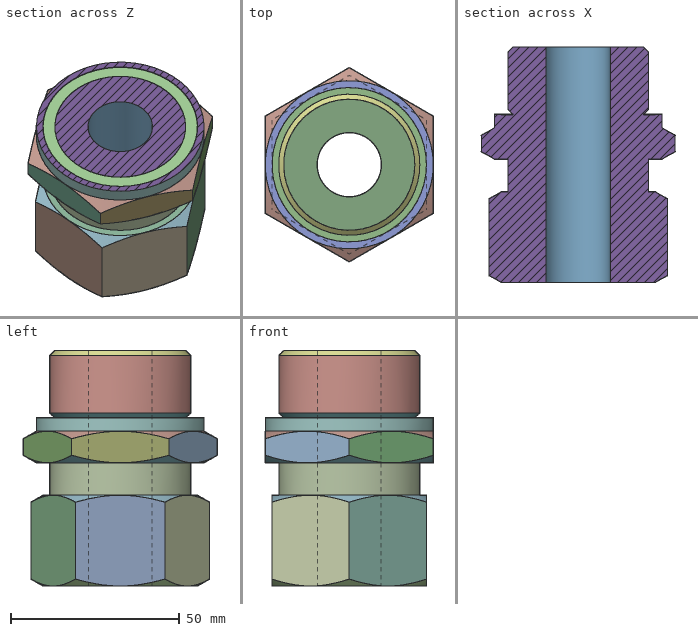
import cadquery as cq
import math

nut_top = 27.0
hex_bottom = 36.6
hex_top = 46.0
flange_top = 50.0
total_height = 70.0

nut_across_flats = 46.0
hex_across_flats = 50.0
face_relief = 0.1
corner_chamfer_angle = 30.0

shank_diameter = 41.91
shank_end_diameter = 38.95
shank_root_diameter = 38.8
root_bevel_height = 1.5
bore_diameter = 19.0
seal_diameter = 45.8
seal_recess_depth = 0.1

hex_face_diameter = hex_across_flats - face_relief
seal_level = flange_top - seal_recess_depth


def cylinder(diameter, bottom, top):
    return cq.Workplane("XY").workplane(offset=bottom).circle(diameter / 2).extrude(top - bottom)


def revolve_about_z(profile_points):
    """Solid of revolution from (radius, height) points."""
    return cq.Workplane("XZ").polyline(profile_points).close().revolve(360, (0, 0, 0), (0, 1, 0))


def chamfered_hexagon(across_flats, bottom, top):
    """Hexagonal prism with flats facing +X and -X, its corners turned off conically at both ends."""
    corner_radius = across_flats / math.sqrt(3)
    face_radius = (across_flats - face_relief) / 2
    drop = (corner_radius - face_radius) * math.tan(math.radians(corner_chamfer_angle))
    prism = cq.Workplane("XY").workplane(offset=bottom).polygon(6, 2 * corner_radius).extrude(top - bottom)
    prism = prism.rotate((0, 0, 0), (0, 0, 1), 360 / 12)
    envelope = revolve_about_z([
        (0, bottom),
        (face_radius, bottom),
        (corner_radius, bottom + drop),
        (corner_radius, top - drop),
        (face_radius, top),
        (0, top),
    ])
    return prism.intersect(envelope)


def shank():
    """Upper connection end, tapering to its root at the flange and bevelled at the top."""
    radius = shank_diameter / 2
    end_radius = shank_end_diameter / 2
    root_radius = shank_root_diameter / 2
    return revolve_about_z([
        (0, seal_level),
        (root_radius, seal_level),
        (radius, seal_level + root_bevel_height),
        (radius, total_height - (radius - end_radius)),
        (end_radius, total_height),
        (0, total_height),
    ])


def flange():
    """Round collar above the hexagon with a shallow seal recess in its top face."""
    collar = cylinder(hex_face_diameter, hex_top, flange_top)
    return collar.cut(cylinder(seal_diameter, seal_level, flange_top))


nut = chamfered_hexagon(nut_across_flats, 0, nut_top)
neck = cylinder(shank_diameter, nut_top, hex_bottom)
body_hexagon = chamfered_hexagon(hex_across_flats, hex_bottom, hex_top)
bore = cylinder(bore_diameter, 0, total_height)

result = nut.union(neck).union(body_hexagon).union(flange()).union(shank()).cut(bore)